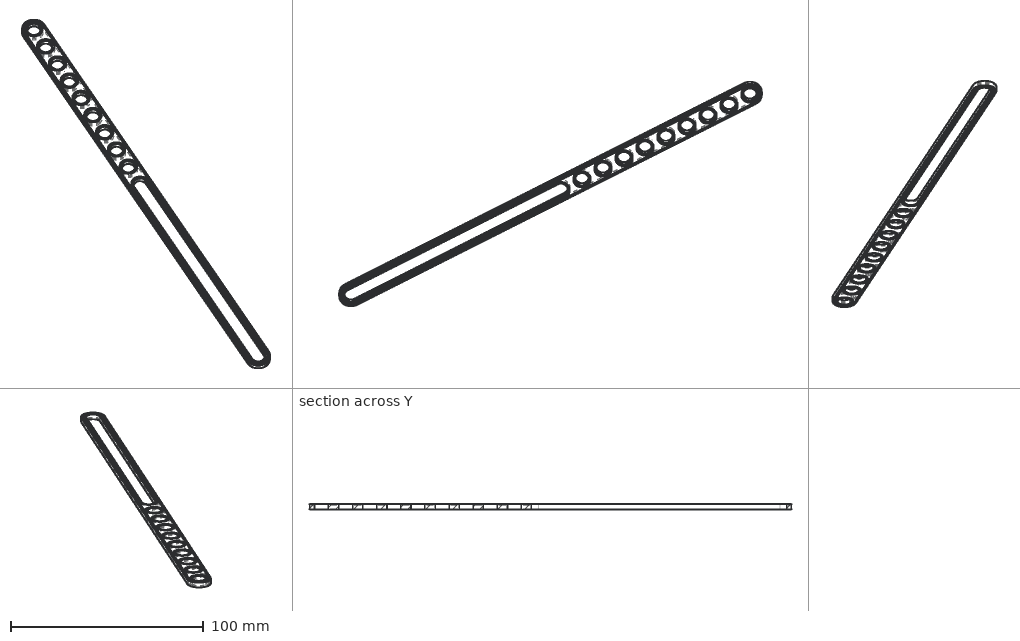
import cadquery as cq

length = 250.0
width = 12.5
half_thickness = 1.55
edge_chamfer = 0.3
chamfer_angle = 45

bore_diameter = 7.0
rim_diameter = 9.2
hole_count = 9
pitch = width

border_width = (rim_diameter - bore_diameter) / 2
recess_width = width - 2 * border_width
recess_depth = 0.2

end_x = (length - width) / 2
slot_start_x = -end_x + hole_count * pitch

hole_positions = [-end_x + index * pitch for index in range(hole_count)]
openings = [(hole_x, hole_x) for hole_x in hole_positions]
openings.append((slot_start_x, end_x))


def rounded_prism(start_x, stop_x, diameter, base_z, height, taper=0):
    """Prism with semicircular ends centred at start_x and stop_x, or a cylinder if they coincide."""
    plane = cq.Workplane("XY", origin=((start_x + stop_x) / 2, 0, base_z))
    if start_x == stop_x:
        outline = plane.circle(diameter / 2)
    else:
        outline = plane.slot2D(stop_x - start_x + diameter, diameter)
    return outline.extrude(height, taper=taper)


def make_bar():
    """Round-ended bar with chamfered outer edges."""
    bar = rounded_prism(-end_x, end_x, width, -half_thickness, 2 * half_thickness)
    return bar.faces("|Z").edges().chamfer(edge_chamfer)


def make_recess(bottom_z):
    """Material sunk from one face: everything inside the border except the rims."""
    recess = rounded_prism(-end_x, end_x, recess_width, bottom_z, recess_depth)
    for start_x, stop_x in openings:
        recess = recess.cut(rounded_prism(start_x, stop_x, rim_diameter, bottom_z, recess_depth))
    return recess


def make_opening(start_x, stop_x):
    """Through cutter that widens at both faces to chamfer the bore edges."""
    cutter = rounded_prism(start_x, stop_x, bore_diameter, -half_thickness, 2 * half_thickness)
    mouth_diameter = bore_diameter + 2 * edge_chamfer
    for side in (-1, 1):
        face_z = side * half_thickness
        mouth = rounded_prism(start_x, stop_x, mouth_diameter, face_z, -side * edge_chamfer, chamfer_angle)
        cutter = cutter.union(mouth)
    return cutter


result = make_bar()
for recess_bottom_z in (half_thickness - recess_depth, -half_thickness):
    result = result.cut(make_recess(recess_bottom_z))
for opening_start, opening_stop in openings:
    result = result.cut(make_opening(opening_start, opening_stop))